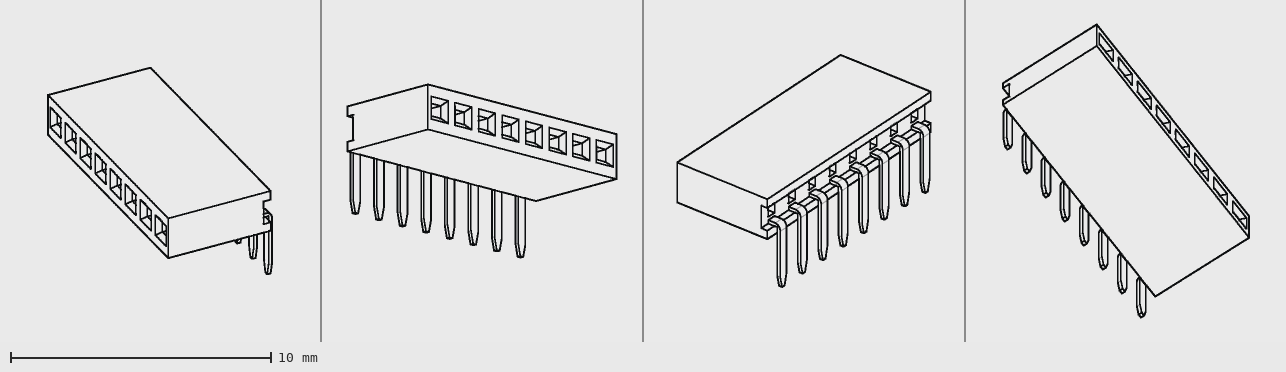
import cadquery as cq
contact_count = 8
pitch = 1.27

housing_length = contact_count * pitch
housing_depth = 4.42
housing_height = 1.8

channel_depth = 0.3
channel_floor = 0.39
channel_roof = 1.4

socket_z = housing_height / 2
mouth_width = 0.9
bore_width = 0.5
mouth_depth = (mouth_width - bore_width) / 2
bore_depth = 3.05
opening_width = 0.4
opening_height = 0.47

pin_width = 0.4
pin_thickness = 0.15
bend_radius = 0.26
pin_tip_width = 0.16
pin_taper_length = 0.51
total_depth = 4.7
total_height = 4.1
pin_bottom = housing_height - total_height
pin_start = housing_depth - channel_depth

pin_places = [(i + 0.5) * pitch for i in range(contact_count)]


def block(x_range, y_range, z_range):
    """Box between the given limits along each axis."""
    size = [high - low for low, high in (x_range, y_range, z_range)]
    return cq.Workplane().box(*size, centered=False).translate((x_range[0], y_range[0], z_range[0]))


def make_socket(x):
    """Cutter for one socket, running through the housing from front to back."""
    front = cq.Workplane("XZ", origin=(x, 0, socket_z))
    mouth = front.rect(mouth_width, mouth_width).workplane(offset=-mouth_depth)
    mouth = mouth.rect(bore_width, bore_width).loft(ruled=True)
    bore = front.rect(bore_width, bore_width).extrude(-bore_depth)
    opening_z = (bore_width - opening_height) / 2
    opening = front.center(0, opening_z).rect(opening_width, opening_height).extrude(-housing_depth)
    return mouth.union(bore).union(opening)


def make_housing():
    """Block with a channel along its back and a row of sockets."""
    body = block((0, housing_length), (0, housing_depth), (0, housing_height))
    channel = block((0, housing_length), (pin_start, housing_depth), (channel_floor, channel_roof))
    body = body.cut(channel)
    for x in pin_places:
        body = body.cut(make_socket(x))
    return body


def make_pin(x):
    """Bent strip that rests on the channel floor and hangs down to a tapered tip."""
    top = channel_floor + pin_thickness
    inner_face = total_depth - pin_thickness
    bar = block((0, pin_width), (pin_start, total_depth), (pin_bottom, top))
    under_bend = block((0, pin_width), (pin_start, inner_face), (pin_bottom, channel_floor))
    strip = bar.edges("|X and >Y and >Z").fillet(bend_radius).cut(under_bend)
    strip = strip.translate((x - pin_width / 2, 0, 0))

    taper_top = pin_bottom + pin_taper_length
    outline = [
        (-pin_tip_width / 2, pin_bottom),
        (pin_tip_width / 2, pin_bottom),
        (pin_width / 2, taper_top),
        (pin_width / 2, top),
        (-pin_width / 2, top),
        (-pin_width / 2, taper_top),
    ]
    face = cq.Workplane("XZ", origin=(x, 0, 0)).polyline(outline).close().extrude(-total_depth)
    return strip.intersect(face)


housing = make_housing()
pins = [make_pin(x) for x in pin_places]

result = cq.Compound.makeCompound([housing.val(), *[pin.val() for pin in pins]])